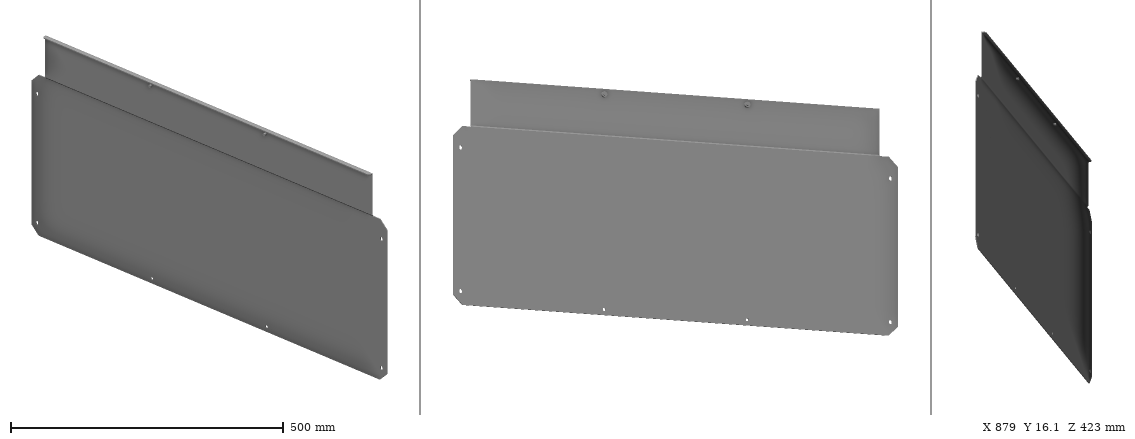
import cadquery as cq

sheet_thickness = 2.0
plate_width = 879.0
plate_height = 334.0
corner_cut = 18.0

overall_height = 423.0
panel_width = 809.0
bend_height = 3.0
panel_bottom = plate_height + bend_height
panel_front = -sheet_thickness
panel_back = 0.0

lip_reach = 7.0
lip_depth = sheet_thickness + lip_reach
lip_taper_depth = 3.5
lip_end_inset = 3.5

hole_diameter = 5.7
slot_length = 8.0
side_slot_inset = 14.0
side_slot_heights = (25.5, 294.0)
bottom_hole_height = 10.5

fixing_spacing = 283.0
fixing_positions = (-fixing_spacing / 2, fixing_spacing / 2)
fastener_height = overall_height - 10.5
shank_diameter = 5.7
shank_front_reach = 7.0
shank_back_reach = 7.1
collar_diameter = 10.5
collar_thickness = 4.6


def make_plate():
    """Flat plate with four cut corners."""
    return (
        cq.Workplane("XY")
        .box(plate_width, sheet_thickness, plate_height, centered=(True, False, False))
        .edges("|Y")
        .chamfer(corner_cut)
    )


def make_panel():
    """Panel and the sloped bend that joins it to the top edge of the plate."""
    section = [
        (0, plate_height),
        (sheet_thickness, plate_height),
        (panel_back, panel_bottom),
        (panel_back, overall_height),
        (panel_front, overall_height),
        (panel_front, panel_bottom),
    ]
    return cq.Workplane("YZ").polyline(section).close().extrude(panel_width / 2, both=True)


def make_lip():
    """Lip along the top of the panel, with its front corners cut at an angle."""
    half_width = panel_width / 2
    tip_half_width = half_width - lip_end_inset
    tip = panel_back - lip_depth
    outline = [
        (-half_width, panel_back),
        (half_width, panel_back),
        (half_width, tip + lip_taper_depth),
        (tip_half_width, tip),
        (-tip_half_width, tip),
        (-half_width, tip + lip_taper_depth),
    ]
    underside = overall_height - sheet_thickness
    return cq.Workplane("XY", origin=(0, 0, underside)).polyline(outline).close().extrude(sheet_thickness)


def make_fastener(x):
    """Round shank through the panel with a collar against the panel's back face."""
    shank_length = shank_front_reach + shank_back_reach
    shank = (
        cq.Workplane("XZ", origin=(x, panel_back + shank_back_reach, fastener_height))
        .circle(shank_diameter / 2)
        .extrude(shank_length)
    )
    collar = (
        cq.Workplane("XZ", origin=(x, panel_back + collar_thickness, fastener_height))
        .circle(collar_diameter / 2)
        .extrude(collar_thickness)
    )
    return shank.union(collar)


def make_hole_cutters():
    """Upright slots near both sides and round holes along the bottom edge."""
    slot_x = plate_width / 2 - side_slot_inset
    slot_centers = [(x, z) for x in (-slot_x, slot_x) for z in side_slot_heights]
    hole_centers = [(x, bottom_hole_height) for x in fixing_positions]
    back_face = cq.Workplane("XZ", origin=(0, sheet_thickness, 0))
    slots = back_face.pushPoints(slot_centers).slot2D(slot_length, hole_diameter, 90).extrude(sheet_thickness)
    holes = back_face.pushPoints(hole_centers).circle(hole_diameter / 2).extrude(sheet_thickness)
    return slots.union(holes)


result = make_plate().cut(make_hole_cutters()).union(make_panel()).union(make_lip())
for fixing_x in fixing_positions:
    result = result.union(make_fastener(fixing_x))